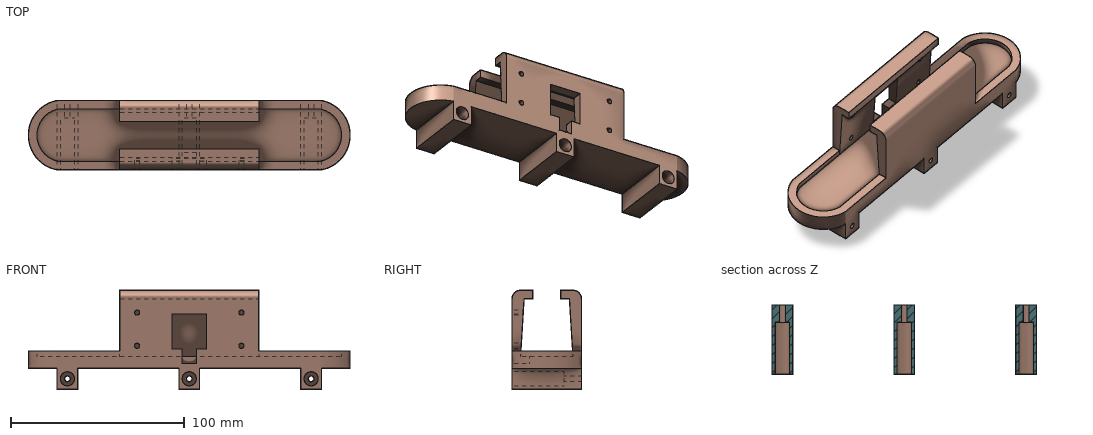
import cadquery as cq

length = 185.0
width = 40.0
height = 57.0
half_width = width / 2

foot_height = 12.0
tray_thickness = 10.0
tray_top = foot_height + tray_thickness
straight_half_length = 76.0
rim_width = 5.0
recess_depth = 3.3
recess_floor = tray_top - recess_depth
end_rise = length / 2 - straight_half_length
end_radius = (half_width**2 + end_rise**2) / (2 * end_rise)

wall_length = 80.0
wall_foot_thickness = 5.0
wall_top_thickness = 7.0
lip_reach = 12.0
lip_thickness = 5.0
wall_edge_radius = 5.0

foot_length = 12.0
foot_spacing = straight_half_length - foot_length / 2
foot_hole_diameter = 3.1
counterbore_diameter = 8.1
counterbore_depth = 30.0

window_width = 20.0
window_bottom = 23.1
window_top = 43.1
slot_width = 8.1
slot_bottom = 14.8
slot_depth = 10.0
screw_hole_diameter = 3.0
screw_hole_x = 30.0
screw_hole_heights = (25.0, 44.0)


def rounded_plate(inset, bottom, thickness):
    """Plate whose outline lies a constant inset inside the tray edge."""
    y = half_width - inset
    radius = end_radius - inset
    arc_center = length / 2 - end_radius
    corner_x = arc_center + (radius**2 - y**2) ** 0.5
    tip_x = length / 2 - inset
    return (
        cq.Workplane("XY", origin=(0, 0, bottom))
        .moveTo(-corner_x, -y)
        .lineTo(corner_x, -y)
        .threePointArc((tip_x, 0), (corner_x, y))
        .lineTo(-corner_x, y)
        .threePointArc((-tip_x, 0), (-corner_x, -y))
        .close()
        .extrude(thickness)
    )


def clamp_wall():
    """Front wall: tapered inside, lipped at the top and rounded outside."""
    lip_bottom = height - lip_thickness
    outer = -half_width
    return (
        cq.Workplane("YZ", origin=(-wall_length / 2, 0, 0))
        .moveTo(outer, foot_height)
        .lineTo(outer + wall_foot_thickness, foot_height)
        .lineTo(outer + wall_foot_thickness, recess_floor)
        .lineTo(outer + wall_top_thickness, lip_bottom)
        .lineTo(outer + lip_reach, lip_bottom)
        .lineTo(outer + lip_reach, height)
        .lineTo(outer + wall_edge_radius, height)
        .radiusArc((outer, height - wall_edge_radius), -wall_edge_radius)
        .close()
        .extrude(wall_length)
    )


def front_box(box_width, bottom, top, depth):
    """Box centred on X that reaches inward from the front face."""
    return cq.Workplane("XY").box(
        box_width, depth, top - bottom, centered=(True, False, False)
    ).translate((0, -half_width, bottom))


def front_hole(x, z, diameter, depth):
    """Round cutter that reaches inward from the front face."""
    return (
        cq.Workplane("XZ", origin=(x, -half_width, z))
        .circle(diameter / 2)
        .extrude(-depth)
    )


body = rounded_plate(0, foot_height, tray_thickness)
body = body.cut(rounded_plate(rim_width, recess_floor, recess_depth))
front_wall = clamp_wall()
body = body.union(front_wall).union(front_wall.mirror("XZ"))

for foot_x in (-foot_spacing, 0, foot_spacing):
    foot = front_box(foot_length, 0, foot_height, width).translate((foot_x, 0, 0))
    hole_z = foot_height / 2
    body = body.union(foot)
    body = body.cut(front_hole(foot_x, hole_z, foot_hole_diameter, width))
    body = body.cut(front_hole(foot_x, hole_z, counterbore_diameter, counterbore_depth))

body = body.cut(front_box(window_width, window_bottom, window_top, half_width))
body = body.cut(front_box(slot_width, slot_bottom, window_bottom, slot_depth))

for hole_x in (-screw_hole_x, screw_hole_x):
    for hole_z in screw_hole_heights:
        body = body.cut(front_hole(hole_x, hole_z, screw_hole_diameter, half_width))

result = body